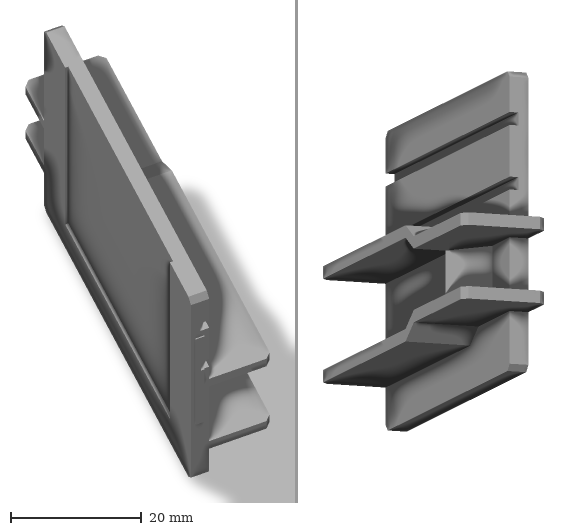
import cadquery as cq

plate_left = 8.0
plate_right = 64.5
plate_width = plate_right - plate_left
plate_thickness = 3.05
plate_height = 46.5
corner_chamfer = 1.0

recess_left = 16.25
recess_right = 56.4
recess_bottom = 6.0
recess_depth = 0.5

groove_bottoms = (28.0, 38.05)
groove_height = 2.0
groove_depth = 1.4

fin_depth = 13.5
fin_thickness = 1.95
fin_gap = 9.5
fin_middle = 15.85
step_start = 22.25
step_end = 26.0
step_rise = 2.3

ramp_depth = 8.4
ramp_run = 6.35
ramp_start = step_start - ramp_run

strip_bottom = 14.5
strip_height = 22.05
strip_front = 0.7
strip_width = 1.5
strip_right = 64.7


def box(x, y, z, dx, dy, dz):
    """Box given by its lowest corner and its sizes."""
    return cq.Workplane("XY").box(dx, dy, dz, centered=False).translate((x, y, z))


def make_plate():
    plate = box(plate_left, 0, 0, plate_width, plate_thickness, plate_height)
    plate = plate.edges("|Y").chamfer(corner_chamfer)
    return plate


def make_recess():
    return box(
        recess_left, 0, recess_bottom,
        recess_right - recess_left, recess_depth, plate_height - recess_bottom,
    )


def make_groove(bottom):
    """Groove running across the plate and through the edge strip."""
    return box(
        plate_left, plate_thickness - groove_depth, bottom,
        strip_right - plate_left, groove_depth, groove_height,
    )


def make_fin(direction):
    """Stepped fin above (direction 1) or below (direction -1) the middle height."""
    inner = fin_gap / 2
    outer = inner + fin_thickness
    profile = [
        (0, inner),
        (step_start, inner),
        (step_end, inner + step_rise),
        (plate_right, inner + step_rise),
        (plate_right, outer + step_rise),
        (step_end, outer + step_rise),
        (step_start, outer),
        (0, outer),
    ]
    points = [(x, fin_middle + direction * offset) for x, offset in profile]
    fin = cq.Workplane("XZ").polyline(points).close().extrude(-fin_depth)
    outline = (
        cq.Workplane("XY")
        .rect(plate_right, fin_depth, centered=False)
        .extrude(plate_height)
        .edges("|Z")
        .chamfer(corner_chamfer)
    )
    return fin.intersect(outline)


def make_ramp():
    """Wedge rising away from the back of the plate between the fins."""
    return (
        cq.Workplane("XY")
        .workplane(offset=fin_middle - fin_gap / 2)
        .moveTo(ramp_start, plate_thickness)
        .lineTo(ramp_start + ramp_run, plate_thickness)
        .lineTo(ramp_start + ramp_run, ramp_depth)
        .close()
        .extrude(fin_gap)
    )


def make_strip():
    return box(
        plate_right, strip_front, strip_bottom,
        strip_right - plate_right, strip_width, strip_height,
    )


result = make_plate().union(make_fin(1)).union(make_fin(-1)).union(make_ramp()).union(make_strip())
result = result.cut(make_recess())
for groove_bottom in groove_bottoms:
    result = result.cut(make_groove(groove_bottom))